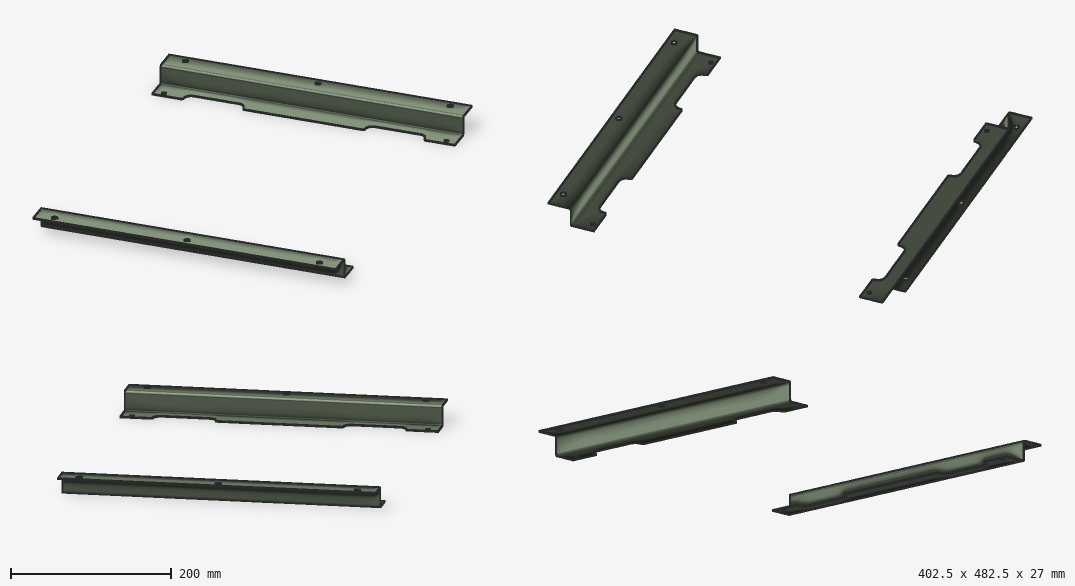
import cadquery as cq

length = 402.5
span = 482.5
height = 27.0

sheet = 1.5
bracket_depth = 61.5
inner_bend_radius = 1.5
outer_bend_radius = inner_bend_radius + sheet
outer_edge = span / 2
inner_edge = outer_edge - bracket_depth
web_center = (outer_edge + inner_edge) / 2
web_inner_face = web_center - sheet / 2
web_outer_face = web_center + sheet / 2

upper_hole_diameter = 7.0
upper_hole_end_distance = 25.0
upper_hole_edge_distance = 9.5
lower_hole_diameter = 5.5
lower_hole_end_distance = 13.5
lower_hole_edge_distance = 6.8

notch_width = 79.0
notch_depth = 13.0
notch_center_x = 120.5
notch_corner_radius = 9.5
notch_lip_radius = 3.0


def bent_strip():
    """Z-shaped sheet: outward upper flange, upright web, inward lower flange."""
    profile = (
        cq.Workplane("YZ")
        .moveTo(inner_edge, 0)
        .lineTo(web_outer_face, 0)
        .lineTo(web_outer_face, height - sheet)
        .lineTo(outer_edge, height - sheet)
        .lineTo(outer_edge, height)
        .lineTo(web_inner_face, height)
        .lineTo(web_inner_face, sheet)
        .lineTo(inner_edge, sheet)
        .close()
    )
    strip = profile.extrude(length / 2, both=True)

    def bend_edge(y, z):
        return cq.selectors.NearestToPointSelector((0, y, z))

    outer_bends = [(web_outer_face, 0), (web_inner_face, height)]
    inner_bends = [(web_outer_face, height - sheet), (web_inner_face, sheet)]
    for y, z in outer_bends:
        strip = strip.edges(bend_edge(y, z)).fillet(outer_bend_radius)
    for y, z in inner_bends:
        strip = strip.edges(bend_edge(y, z)).fillet(inner_bend_radius)
    return strip


def hole_cutter(diameter, points):
    return cq.Workplane("XY").pushPoints(points).circle(diameter / 2).extrude(height)


def upper_holes():
    x = length / 2 - upper_hole_end_distance
    y = outer_edge - upper_hole_edge_distance
    return hole_cutter(upper_hole_diameter, [(-x, y), (0, y), (x, y)])


def lower_holes():
    x = length / 2 - lower_hole_end_distance
    y = inner_edge + lower_hole_edge_distance
    return hole_cutter(lower_hole_diameter, [(-x, y), (x, y)])


def notch(center_x):
    """Notch with rounded inside corners and rounded lips at the flange edge."""
    left = center_x - notch_width / 2
    right = center_x + notch_width / 2
    floor = inner_edge + notch_depth
    corner = notch_corner_radius
    lip = notch_lip_radius
    return (
        cq.Workplane("XY")
        .moveTo(left - lip, inner_edge)
        .radiusArc((left, inner_edge + lip), -lip)
        .lineTo(left, floor - corner)
        .radiusArc((left + corner, floor), corner)
        .lineTo(right - corner, floor)
        .radiusArc((right, floor - corner), corner)
        .lineTo(right, inner_edge + lip)
        .radiusArc((right + lip, inner_edge), -lip)
        .close()
        .extrude(sheet)
    )


def bracket():
    """Bracket on the +Y side, with its upper flange pointing outward."""
    body = bent_strip().cut(upper_holes()).cut(lower_holes())
    for side in (-1, 1):
        body = body.cut(notch(side * notch_center_x))
    return body


brackets = []
for turn in (0, 180):
    brackets.append(bracket().rotate((0, 0, 0), (0, 0, 1), turn).val())

result = cq.Compound.makeCompound(brackets)